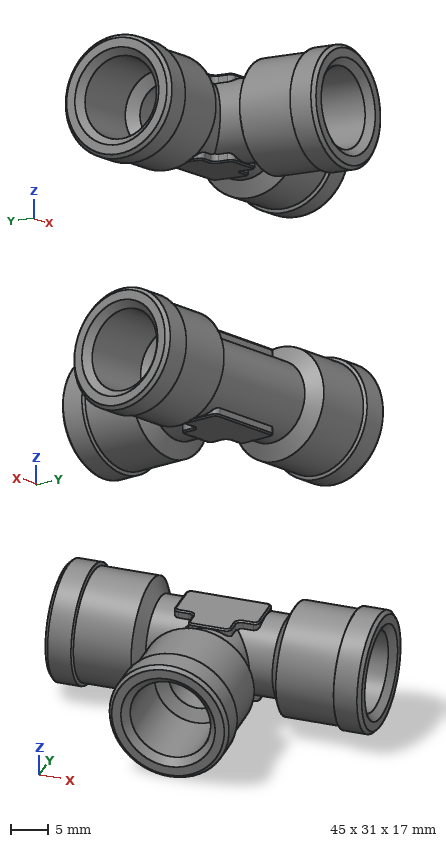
import cadquery as cq
import math

port_reach = 22.5

neck_radius = 5.75
body_radius = 8.0
collar_radius = 8.5
collar_length = 3.82
collar_back_slope = 0.2
rim_chamfer = 0.5
body_length = 12.2
body_taper_angle = 60.0

passage_radius = 4.0
bore_radius = 5.7
mouth_radius = 6.7
mouth_angle = 45.0
bore_depth = 11.0
bore_end_angle = 60.0

pad_width = 12.15
pad_stem_width = 6.1
pad_half_depth = 2.95
pad_stem_end = 5.95
pad_rise = 0.3
pad_corner_radius = 0.75
pad_edge_chamfer = 0.22


def cone_length(large_radius, small_radius, angle):
    """Axial run of a cone whose side leans by angle from its axis."""
    return (large_radius - small_radius) / math.tan(math.radians(angle))


def revolve_arm(profile):
    """Revolve (radius, distance from centre) points into an arm towards +Y."""
    return cq.Workplane("XY").polyline(profile).close().revolve(360, (0, 0, 0), (0, 1, 0))


def arm_outside():
    collar_back = port_reach - collar_length
    body_end = port_reach - body_length
    taper_end = body_end - cone_length(body_radius, neck_radius, body_taper_angle)
    return revolve_arm([
        (0, 0),
        (neck_radius, 0),
        (neck_radius, taper_end),
        (body_radius, body_end),
        (body_radius, collar_back - collar_back_slope),
        (collar_radius, collar_back),
        (collar_radius, port_reach - rim_chamfer),
        (collar_radius - rim_chamfer, port_reach),
        (0, port_reach),
    ])


def arm_inside():
    mouth_end = port_reach - cone_length(mouth_radius, bore_radius, mouth_angle)
    bore_end = port_reach - bore_depth
    passage_start = bore_end - cone_length(bore_radius, passage_radius, bore_end_angle)
    return revolve_arm([
        (0, 0),
        (passage_radius, 0),
        (passage_radius, passage_start),
        (bore_radius, bore_end),
        (bore_radius, mouth_end),
        (mouth_radius, port_reach),
        (0, port_reach),
    ])


def tee(arm):
    """Join copies of an arm pointing to +X, -X and -Y."""
    joined = None
    for turn in (-90, 90, 180):
        turned = arm.rotate((0, 0, 0), (0, 0, 1), turn)
        joined = turned if joined is None else joined.union(turned)
    return joined


def marking_pad():
    half_width = pad_width / 2
    half_stem = pad_stem_width / 2
    return (
        cq.Workplane("XY")
        .polyline([
            (-half_width, pad_half_depth),
            (half_width, pad_half_depth),
            (half_width, -pad_half_depth),
            (half_stem, -pad_half_depth),
            (half_stem, -pad_stem_end),
            (-half_stem, -pad_stem_end),
            (-half_stem, -pad_half_depth),
            (-half_width, -pad_half_depth),
        ])
        .close()
        .extrude(neck_radius + pad_rise)
        .edges("|Z").fillet(pad_corner_radius)
        .faces(">Z").chamfer(pad_edge_chamfer)
    )


top_pad = marking_pad()
bottom_pad = top_pad.mirror("XY")
result = tee(arm_outside()).union(top_pad).union(bottom_pad).cut(tee(arm_inside()))